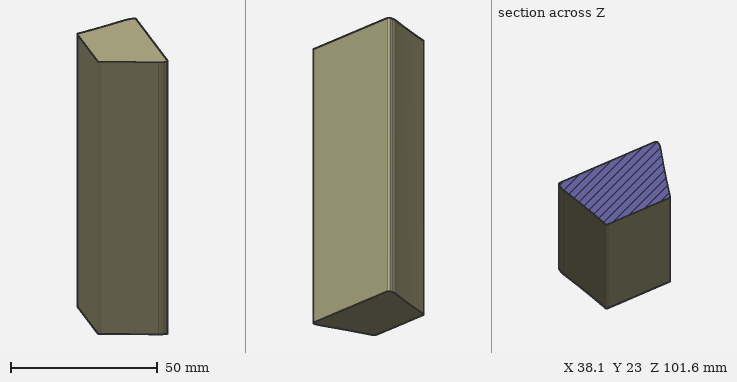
import cadquery as cq
import math

length = 101.6
width = 38.1
depth = 23.0
front_width = 24.7
front_corner_radius = 0.7
back_corner_radius = 0.7
side_flat_end = 1.6
shoulder_end = 3.6
shoulder_radius = 5.7
flank_radius = 304.8

half_width = width / 2
back = depth / 2
front = -back

shoulder_angle = math.asin((shoulder_end - side_flat_end) / shoulder_radius)


def point_on_shoulder(angle):
    """Point on the right shoulder, turned by angle from the straight side."""
    x = half_width - shoulder_radius * (1 - math.cos(angle))
    y = back - side_flat_end - shoulder_radius * math.sin(angle)
    return (x, y)


def hollow_middle(start, end, radius):
    """Middle of the right flank arc, bowed towards the inside of the part."""
    dx = end[0] - start[0]
    dy = end[1] - start[1]
    chord = math.hypot(dx, dy)
    sag = radius - math.sqrt(radius**2 - (chord / 2) ** 2)
    x = (start[0] + end[0]) / 2 + sag * dy / chord
    y = (start[1] + end[1]) / 2 - sag * dx / chord
    return (x, y)


def mirrored(point):
    return (-point[0], point[1])


back_corner = (half_width, back)
shoulder_start = point_on_shoulder(0)
shoulder_middle = point_on_shoulder(shoulder_angle / 2)
shoulder_finish = point_on_shoulder(shoulder_angle)
front_corner = (front_width / 2, front)
flank_middle = hollow_middle(shoulder_finish, front_corner, flank_radius)

section = (
    cq.Workplane("XY")
    .workplane(offset=-length / 2)
    .moveTo(*mirrored(back_corner))
    .lineTo(*back_corner)
    .lineTo(*shoulder_start)
    .threePointArc(shoulder_middle, shoulder_finish)
    .threePointArc(flank_middle, front_corner)
    .lineTo(*mirrored(front_corner))
    .threePointArc(mirrored(flank_middle), mirrored(shoulder_finish))
    .threePointArc(mirrored(shoulder_middle), mirrored(shoulder_start))
    .close()
)
bar = section.extrude(length)

bar = bar.faces("<Y").edges("|Z").fillet(front_corner_radius)
result = bar.faces(">Y").edges("|Z").fillet(back_corner_radius)